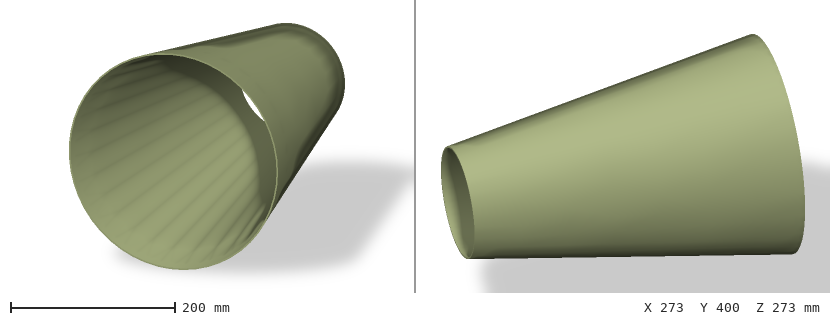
import cadquery as cq

length = 400.0
large_diameter = 273.0
small_diameter = 139.5
wall = 2.0

large_radius = large_diameter / 2
small_radius = small_diameter / 2
front_y = -length / 2
back_y = length / 2

wall_section = (
    cq.Workplane("XY")
    .moveTo(large_radius - wall, front_y)
    .lineTo(large_radius, front_y)
    .lineTo(small_radius, back_y)
    .lineTo(small_radius - wall, back_y)
    .close()
)

result = wall_section.revolve(360, (0, 0, 0), (0, 1, 0))